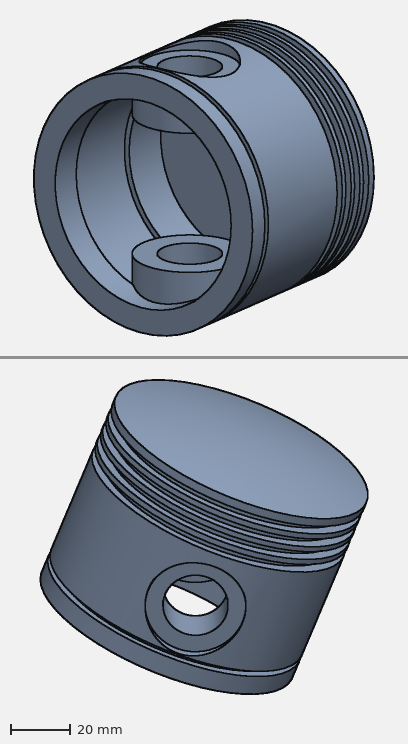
import cadquery as cq

outer_diameter = 92.0
outer_radius = outer_diameter / 2
crown_edge_height = 69.0
crown_peak_height = 74.4

ring_groove_diameter = 84.0
ring_grooves = [(48.0, 51.0), (53.0, 56.0), (58.0, 61.0), (63.0, 66.0)]
skirt_groove_diameter = 85.0
skirt_groove = (7.0, 9.0)

bore_diameter = 74.0
bore_depth = 60.0
relief_start = 12.0
relief_end = 42.0
relief_diameter = 78.0

pin_height = 26.5
pin_hole_diameter = 22.0
pin_boss_diameter = 39.0
pin_boss_gap = 49.7
pin_seat_diameter = 34.0
pin_seat_span = 84.0


def disc(diameter, start, end):
    """Cylinder about the piston axis between two heights along Y."""
    plane = cq.Plane(origin=(0, start, 0), xDir=(1, 0, 0), normal=(0, 1, 0))
    return cq.Workplane(plane).circle(diameter / 2).extrude(end - start)


def pin_cylinder(diameter):
    """Cylinder about the pin axis through the whole piston."""
    return cq.Workplane("XY").center(0, pin_height).circle(diameter / 2).extrude(outer_radius, both=True)


def pin_cylinder_ends(diameter, gap):
    """Both ends of a cylinder about the pin axis, with a central gap left empty."""
    middle = cq.Workplane("XY").center(0, pin_height).circle(diameter).extrude(gap / 2, both=True)
    return pin_cylinder(diameter).cut(middle)


def domed_blank():
    """Solid of revolution with a spherical crown."""
    dome_rise = crown_peak_height - crown_edge_height
    dome_radius = (outer_radius**2 + dome_rise**2) / (2 * dome_rise)
    dome_center_y = crown_peak_height - dome_radius
    mid_x = outer_radius / 2
    mid_y = dome_center_y + (dome_radius**2 - mid_x**2) ** 0.5
    return (
        cq.Workplane("XY")
        .lineTo(outer_radius, 0)
        .lineTo(outer_radius, crown_edge_height)
        .threePointArc((mid_x, mid_y), (0, crown_peak_height))
        .close()
        .revolve(360, (0, 0, 0), (0, 1, 0))
    )


def groove(diameter, span):
    """Ring of material to remove down to the given diameter."""
    return disc(outer_diameter, *span).cut(disc(diameter, *span))


bore = disc(bore_diameter, 0, bore_depth)
relief = disc(relief_diameter, relief_start, relief_end)
cavity = bore.union(relief)
piston = domed_blank().cut(cavity)

bosses = pin_cylinder_ends(pin_boss_diameter, pin_boss_gap)
piston = piston.union(bosses.intersect(cavity))

for ring_groove in ring_grooves:
    piston = piston.cut(groove(ring_groove_diameter, ring_groove))
piston = piston.cut(groove(skirt_groove_diameter, skirt_groove))

piston = piston.cut(pin_cylinder_ends(pin_seat_diameter, pin_seat_span))
result = piston.cut(pin_cylinder(pin_hole_diameter))